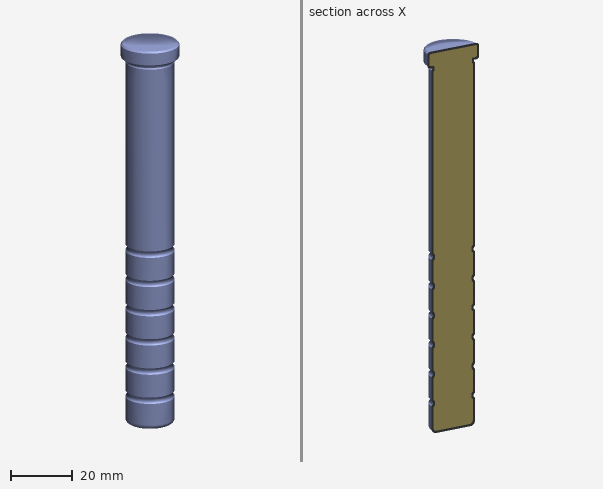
import cadquery as cq

total_length = 130.0
head_diameter = 19.0
shaft_diameter = 16.0

head_height = 5.1
head_chamfer = 0.5
relief_width = 1.0
relief_depth = 0.4
shoulder_chamfer = 0.4

groove_count = 6
groove_pitch = 10.0
groove_depth = 0.58
groove_radius = 1.3

tip_fillet = 1.5

shaft_radius = shaft_diameter / 2
head_bottom = total_length - head_height
shaft_length = head_bottom - relief_width


def make_shaft():
    """Plain shaft with a rounded lower end and a bevelled upper shoulder."""
    shaft = cq.Workplane("XY").circle(shaft_radius).extrude(shaft_length)
    shaft = shaft.faces("<Z").edges().fillet(tip_fillet)
    return shaft.faces(">Z").edges().chamfer(shoulder_chamfer)


def make_neck():
    """Reduced neck that joins the shaft to the head."""
    return (
        cq.Workplane("XY")
        .workplane(offset=shaft_length)
        .circle(shaft_radius - relief_depth)
        .extrude(relief_width)
    )


def make_head():
    """Disc head with both rims chamfered."""
    return (
        cq.Workplane("XY")
        .workplane(offset=head_bottom)
        .circle(head_diameter / 2)
        .extrude(head_height)
        .faces("<Z or >Z")
        .edges()
        .chamfer(head_chamfer)
    )


def make_groove_cutter(height):
    """Torus whose inner side scoops a round-bottomed groove at the given height."""
    centre_radius = shaft_radius - groove_depth + groove_radius
    return (
        cq.Workplane("XZ")
        .center(centre_radius, height)
        .circle(groove_radius)
        .revolve(360, (-centre_radius, 0, 0), (-centre_radius, 1, 0))
    )


result = make_shaft().union(make_neck()).union(make_head())
for groove_number in range(1, groove_count + 1):
    result = result.cut(make_groove_cutter(groove_number * groove_pitch))